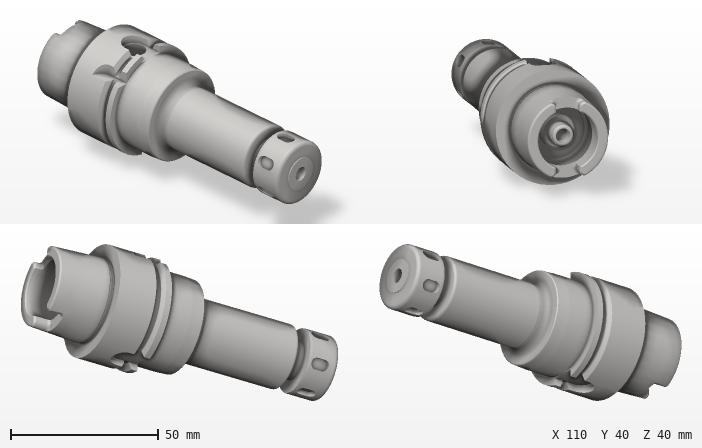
import cadquery as cq
import math

TOTAL_LENGTH = 110.0

SHANK_LENGTH = 20.0
TAPER_SMALL_R = 14.2
TAPER_LARGE_R = 15.1
TAPER_END_X = 17.9
TAPER_LAND_END_X = 18.7
RIM_ROUND = 0.8
RELIEF_R = 14.7
RELIEF_START_X = 19.0
RELIEF_OUTER_R = 16.0
RELIEF_DEPTH = 0.3

BORE_R = 21.0 / 2
BORE_MOUTH_R = 21.8 / 2
BORE_STRAIGHT_DEPTH = 7.7
CLAMP_GROOVE_R = 11.0
CLAMP_GROOVE_END_X = 14.8
BORE_FLOOR_R = 9.8
BORE_FLOOR_X = 16.0
BOSS_R = 12.1 / 2
BOSS_FACE_X = 13.2
BOSS_CHAMFER = 0.9
TUBE_R = 7.5 / 2
TUBE_TIP_R = 7.3 / 2
TUBE_TIP_X = 6.5
TUBE_TIP_LENGTH = 1.6
TUBE_TIP_ROUND = 0.9
COOLANT_R = 5.1 / 2

FLANGE_R = 40.0 / 2
FLANGE_LENGTH = 20.0
FLANGE_END_X = SHANK_LENGTH + FLANGE_LENGTH
GROOVE_START_X = 34.0
GROOVE_END_X = 37.8
GROOVE_SIDE_RUN = 1.0
GROOVE_SIDE_R = 18.3
GROOVE_R = 17.4

COLLAR_R = 34.0 / 2
COLLAR_TAPER_X = 49.7
COLLAR_END_X = 54.7
COLLAR_END_R = 16.7
COLLAR_ROUND = 0.3
STEM_R = 23.0 / 2
STEM_ROOT_ROUND = 2.3
STEM_ROOT_DROP = 0.1
STEM_ROOT_R = STEM_R - STEM_ROOT_DROP
STEM_ROOT_END_X = 57.9
STEM_START_X = 58.3
STEM_END_X = 94.0
STEM_ROUND = 1.0
NECK_R = 14.0 / 2
NUT_START_X = 98.5
NUT_END_X = 109.7
NUT_BACK_CHAMFER_LENGTH = 0.8
NUT_BACK_CHAMFER_DROP = 0.1
NUT_ROUND = 1.3
NOSE_R = 12.0 / 2

DRIVE_SLOT_HALF_WIDTH = 4.2
DRIVE_SLOT_FLARE = 1.8
DRIVE_SLOT_SHOULDER_Z = 12.9
DRIVE_SLOT_TOP_DEPTH = 3.4
DRIVE_SLOT_BOTTOM_DEPTH = 6.0
DRIVE_SLOT_FLOOR_ROUND = 1.1
DRIVE_SLOT_MOUTH_CHAMFER = 0.7

KEY_SLOT_R = 8.8 / 2
KEY_SLOT_CENTER_X = 32.2
KEY_SLOT_FLOOR_Z = 16.9
NOTCH_FLOOR = 12.0
CHIP_HOLE_R = 8.0 / 2
CHIP_HOLE_X = 32.5
CHIP_HOLE_DEPTH = 5.5

WRENCH_SLOT_COUNT = 6
WRENCH_SLOT_LENGTH = 6.8
WRENCH_SLOT_WIDTH = 4.1
WRENCH_SLOT_X = 103.1
WRENCH_SLOT_FLOOR_R = 9.5

CUT_REACH = 2 * FLANGE_R
ARC_45 = math.sqrt(0.5)


def outer_profile():
    """Half section of the solid outer shape, from the axis at X = 0 to the axis at the nose."""
    rim_mid = RIM_ROUND * (1 - ARC_45)
    root_mid = STEM_ROOT_ROUND * (1 - ARC_45)
    stem_mid = STEM_ROUND * (1 - ARC_45)
    nut_mid = NUT_ROUND * (1 - ARC_45)
    shank = (
        cq.Workplane("XY")
        .moveTo(0, 0)
        .lineTo(0, TAPER_SMALL_R - RIM_ROUND)
        .threePointArc((rim_mid, TAPER_SMALL_R - rim_mid), (RIM_ROUND, TAPER_SMALL_R))
        .lineTo(TAPER_END_X, TAPER_LARGE_R)
        .lineTo(TAPER_LAND_END_X, TAPER_LARGE_R)
        .lineTo(RELIEF_START_X, RELIEF_R)
        .lineTo(SHANK_LENGTH, RELIEF_R)
        .lineTo(SHANK_LENGTH + RELIEF_DEPTH, RELIEF_R + RELIEF_DEPTH)
        .lineTo(SHANK_LENGTH, RELIEF_OUTER_R)
    )
    flange = (
        shank
        .lineTo(SHANK_LENGTH, FLANGE_R)
        .lineTo(GROOVE_START_X, FLANGE_R)
        .lineTo(GROOVE_START_X + GROOVE_SIDE_RUN, GROOVE_SIDE_R)
        .lineTo(GROOVE_START_X + GROOVE_SIDE_RUN, GROOVE_R)
        .lineTo(GROOVE_END_X - GROOVE_SIDE_RUN, GROOVE_R)
        .lineTo(GROOVE_END_X - GROOVE_SIDE_RUN, GROOVE_SIDE_R)
        .lineTo(GROOVE_END_X, FLANGE_R)
        .lineTo(FLANGE_END_X, FLANGE_R)
    )
    collar = (
        flange
        .lineTo(FLANGE_END_X, COLLAR_R)
        .lineTo(COLLAR_TAPER_X, COLLAR_R)
        .lineTo(COLLAR_END_X - COLLAR_ROUND, COLLAR_END_R)
        .lineTo(COLLAR_END_X, COLLAR_END_R - COLLAR_ROUND)
        .lineTo(COLLAR_END_X, STEM_ROOT_R + STEM_ROOT_ROUND)
    )
    stem = (
        collar
        .threePointArc(
            (COLLAR_END_X + root_mid, STEM_ROOT_R + root_mid),
            (COLLAR_END_X + STEM_ROOT_ROUND, STEM_ROOT_R),
        )
        .lineTo(STEM_ROOT_END_X, STEM_ROOT_R)
        .lineTo(STEM_START_X, STEM_R)
        .lineTo(STEM_END_X - STEM_ROUND, STEM_R)
        .threePointArc((STEM_END_X - stem_mid, STEM_R - stem_mid), (STEM_END_X, STEM_R - STEM_ROUND))
        .lineTo(STEM_END_X, NECK_R)
    )
    nut = (
        stem
        .lineTo(NUT_START_X, NECK_R)
        .lineTo(NUT_START_X, STEM_R - NUT_BACK_CHAMFER_DROP)
        .lineTo(NUT_START_X + NUT_BACK_CHAMFER_LENGTH, STEM_R)
        .lineTo(NUT_END_X - NUT_ROUND, STEM_R)
        .threePointArc((NUT_END_X - nut_mid, STEM_R - nut_mid), (NUT_END_X, STEM_R - NUT_ROUND))
        .lineTo(NUT_END_X, NOSE_R)
        .lineTo(TOTAL_LENGTH, NOSE_R)
        .lineTo(TOTAL_LENGTH, 0)
    )
    return nut.close()


def hollow_profile():
    """Half section of the hollow around the coolant tube, and of the through hole."""
    mouth_chamfer = BORE_MOUTH_R - BORE_R
    tip_mid = TUBE_TIP_ROUND * (1 - ARC_45)
    return (
        cq.Workplane("XY")
        .moveTo(0, 0)
        .lineTo(0, BORE_MOUTH_R)
        .lineTo(mouth_chamfer, BORE_R)
        .lineTo(BORE_STRAIGHT_DEPTH, BORE_R)
        .lineTo(BORE_STRAIGHT_DEPTH, CLAMP_GROOVE_R)
        .lineTo(CLAMP_GROOVE_END_X, CLAMP_GROOVE_R)
        .lineTo(CLAMP_GROOVE_END_X, BORE_FLOOR_R)
        .lineTo(BORE_FLOOR_X, BORE_FLOOR_R)
        .lineTo(BORE_FLOOR_X, BOSS_R)
        .lineTo(BOSS_FACE_X + BOSS_CHAMFER, BOSS_R)
        .lineTo(BOSS_FACE_X, BOSS_R - BOSS_CHAMFER)
        .lineTo(BOSS_FACE_X, TUBE_R)
        .lineTo(TUBE_TIP_X + TUBE_TIP_LENGTH, TUBE_R)
        .lineTo(TUBE_TIP_X + TUBE_TIP_LENGTH, TUBE_TIP_R)
        .lineTo(TUBE_TIP_X + TUBE_TIP_ROUND, TUBE_TIP_R)
        .threePointArc(
            (TUBE_TIP_X + tip_mid, TUBE_TIP_R - tip_mid),
            (TUBE_TIP_X, TUBE_TIP_R - TUBE_TIP_ROUND),
        )
        .lineTo(TUBE_TIP_X, COOLANT_R)
        .lineTo(TOTAL_LENGTH, COOLANT_R)
        .lineTo(TOTAL_LENGTH, 0)
        .close()
    )


def revolve_about_x(profile):
    return profile.revolve(360, (0, 0, 0), (1, 0, 0))


def drive_slot_outline(widening):
    """Slot section on the +Z side, flaring outward over rounded shoulders."""
    half = DRIVE_SLOT_HALF_WIDTH + widening
    flare = DRIVE_SLOT_FLARE - widening
    shoulder = DRIVE_SLOT_SHOULDER_Z - widening
    arc_mid = flare * (1 - ARC_45)
    return (
        cq.Workplane("YZ")
        .moveTo(-half, 0)
        .lineTo(-half, shoulder - flare)
        .threePointArc((-half - arc_mid, shoulder - arc_mid), (-half - flare, shoulder))
        .lineTo(-CUT_REACH, shoulder)
        .lineTo(-CUT_REACH, CUT_REACH)
        .lineTo(CUT_REACH, CUT_REACH)
        .lineTo(CUT_REACH, shoulder)
        .lineTo(half + flare, shoulder)
        .threePointArc((half + arc_mid, shoulder - arc_mid), (half, shoulder - flare))
        .lineTo(half, 0)
        .close()
    )


def drive_slot(depth):
    """Drive slot on the +Z side with a rounded floor and a chamfered mouth."""
    slot = drive_slot_outline(0).extrude(depth).faces(">X").edges().fillet(DRIVE_SLOT_FLOOR_ROUND)
    mouth_wire = drive_slot_outline(DRIVE_SLOT_MOUTH_CHAMFER).wires().val()
    chamfer_end_wire = drive_slot_outline(0).wires().val().translate((DRIVE_SLOT_MOUTH_CHAMFER, 0, 0))
    mouth = cq.Solid.makeLoft([mouth_wire, chamfer_end_wire], True)
    return slot.union(cq.Workplane(mouth))


def slot_from_top(center_y, floor_z):
    """Round-ended key slot, open at the collar side of the flange."""
    length = FLANGE_END_X - KEY_SLOT_CENTER_X
    plane = cq.Workplane("XY", origin=(KEY_SLOT_CENTER_X, center_y, floor_z))
    run = plane.center(length / 2, 0).rect(length, 2 * KEY_SLOT_R).extrude(CUT_REACH)
    round_end = plane.circle(KEY_SLOT_R).extrude(CUT_REACH)
    return run.union(round_end)


def wrench_slots():
    """Flat-bottomed slots spaced evenly around the nut."""
    slots = cq.Workplane("XY")
    slot = (
        cq.Workplane("XY", origin=(WRENCH_SLOT_X, 0, WRENCH_SLOT_FLOOR_R))
        .slot2D(WRENCH_SLOT_LENGTH, WRENCH_SLOT_WIDTH)
        .extrude(STEM_R)
    )
    for index in range(WRENCH_SLOT_COUNT):
        angle = index * 360 / WRENCH_SLOT_COUNT
        slots = slots.union(slot.rotate((0, 0, 0), (1, 0, 0), angle))
    return slots


def half_turn(shape):
    return shape.rotate((0, 0, 0), (1, 0, 0), 180)


def chip_hole():
    """Blind round hole in the floor of the +Z key slot."""
    floor_z = KEY_SLOT_FLOOR_Z - CHIP_HOLE_DEPTH
    return cq.Workplane("XY", origin=(CHIP_HOLE_X, 0, floor_z)).circle(CHIP_HOLE_R).extrude(CUT_REACH)


result = revolve_about_x(outer_profile()).cut(revolve_about_x(hollow_profile()))

result = result.cut(drive_slot(DRIVE_SLOT_TOP_DEPTH))
result = result.cut(half_turn(drive_slot(DRIVE_SLOT_BOTTOM_DEPTH)))

key_slot = slot_from_top(0, KEY_SLOT_FLOOR_Z)
corner_notch = slot_from_top(-NOTCH_FLOOR - KEY_SLOT_R, NOTCH_FLOOR)
result = result.cut(key_slot)
result = result.cut(half_turn(key_slot))
result = result.cut(corner_notch)
result = result.cut(chip_hole())

result = result.cut(wrench_slots())